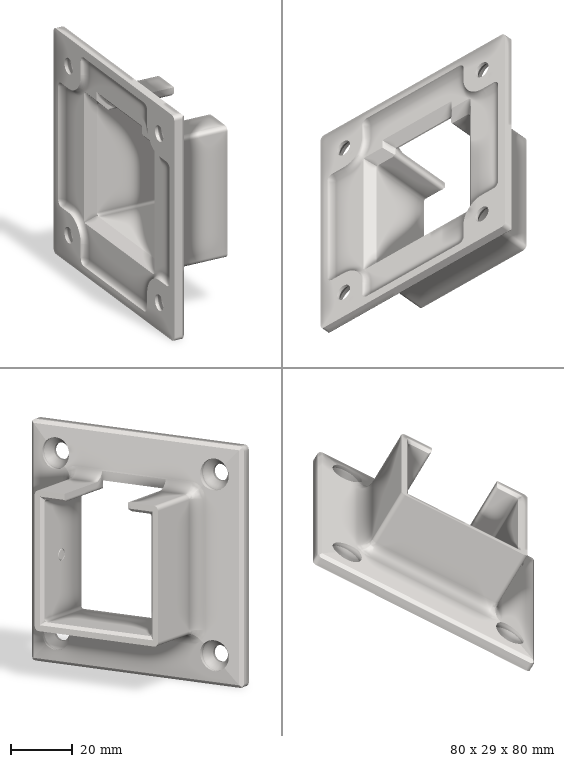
import cadquery as cq
import math

plate_side = 80.0
plate_corner_radius = 1.5
rim_straight = 3.0
rim_chamfer = 1.1
slope_angle = 6.5

total_depth = 29.0
wall = 3.0
opening_side = 40.5
tube_side = opening_side + 2 * wall
tube_corner_radius = 1.5
opening_corner_radius = 1.0
root_fillet = 4.0
back_chamfer = 1.0

slot_width = 24.0
slot_start = 5.6

recess_side = 74.0
recess_depth = 2.0
recess_fillet = 2.0
boss_radius = 8.0

hole_spacing = 60.0
hole_diameter = 5.6
head_diameter = 10.4
hole_straight = 1.1
head_taper_depth = (head_diameter - hole_diameter) / 2

screw_diameter = 4.0
screw_tip_chamfer = 0.3
screw_position = 17.3

tube_half = tube_side / 2
opening_half = opening_side / 2
rim_depth = rim_straight + rim_chamfer


def facing_back(y):
    """Workplane at depth y that extrudes towards +Y, with its vertical axis along Z."""
    return cq.Workplane(cq.Plane(origin=(0, y, 0), xDir=(-1, 0, 0), normal=(0, 1, 0)))


def make_flange():
    """Plate with a chamfered rim and a shallow pyramid on its back."""
    plate = facing_back(0).rect(plate_side, plate_side).extrude(rim_depth)
    plate = plate.faces(">Y").edges().chamfer(rim_chamfer)
    plate = plate.edges("|Y").fillet(plate_corner_radius)
    slope_side = plate_side - 2 * rim_chamfer
    slope_run = (slope_side - opening_side) / 2
    slope_rise = slope_run * math.tan(math.radians(slope_angle))
    pyramid = (
        facing_back(rim_depth)
        .rect(slope_side, slope_side)
        .extrude(slope_rise, taper=90 - slope_angle)
    )
    return plate.union(pyramid)


def make_tube():
    """Square tube, still solid inside, with rounded corners."""
    tube = facing_back(0).rect(tube_side, tube_side).extrude(total_depth)
    return tube.edges("|Y").fillet(tube_corner_radius)


def fillet_root(body):
    """Round the edge where the tube rises from the sloping back."""
    reach = tube_half + wall
    root_zone = cq.selectors.BoxSelector(
        (-reach, rim_depth, -reach), (reach, total_depth / 2, reach)
    )
    return body.edges(root_zone).edges("not |Y").fillet(root_fillet)


def corner_pads():
    """Blocks over the four screw holes, rounded towards the middle of the plate."""
    pad_size = 2 * (plate_side - hole_spacing)
    pad_centre = hole_spacing / 2 - boss_radius + pad_size / 2
    pads = (
        facing_back(-recess_fillet)
        .rect(2 * pad_centre, 2 * pad_centre, forConstruction=True)
        .vertices()
        .rect(pad_size, pad_size)
        .extrude(recess_fillet + recess_depth)
    )
    return pads.edges("|Y").filter(lies_inside_holes).fillet(boss_radius)


def lies_inside_holes(edge):
    """True for an edge nearer the middle, in both X and Z, than the screw holes."""
    centre = edge.Center()
    return max(abs(centre.x), abs(centre.z)) < hole_spacing / 2


def lies_outside_holes(edge):
    """True for an edge further out, in X or in Z, than the screw holes."""
    centre = edge.Center()
    return max(abs(centre.x), abs(centre.z)) > hole_spacing / 2 + recess_fillet


def recess_cutter():
    """Pocket that leaves the corner pads standing, with rounded corners and floor edge."""
    pocket = (
        facing_back(-recess_fillet)
        .rect(recess_side, recess_side)
        .extrude(recess_fillet + recess_depth)
    )
    pocket = pocket.cut(corner_pads())
    pocket = pocket.edges("|Y").filter(lies_outside_holes).fillet(recess_fillet)
    return pocket.faces(">Y").edges().fillet(recess_fillet)


def tapered_block(y, width, bottom, top, depth):
    """Block from Z = bottom to top whose four sides lean inwards at 45 degrees."""
    return (
        facing_back(y)
        .center(0, (bottom + top) / 2)
        .rect(width, top - bottom)
        .extrude(depth, taper=45)
    )


def opening_cutter():
    """Square opening with a slot-wide tab that takes away the tube's top wall."""
    square = facing_back(0).rect(opening_side, opening_side).extrude(total_depth)
    tab = (
        facing_back(0)
        .center(0, tube_half / 2)
        .rect(slot_width, tube_half)
        .extrude(total_depth)
    )
    opening = square.union(tab)
    inner_corners = cq.selectors.BoxSelector(
        (-tube_half, 0, -tube_half), (tube_half, total_depth, opening_half + wall / 2)
    )
    return opening.edges("|Y").edges(inner_corners).fillet(opening_corner_radius)


def mouth_cutter():
    """45 degree bevel from the recess floor into the opening and its tab."""
    square = tapered_block(recess_depth, tube_side, -tube_half, tube_half, wall)
    tab_width = slot_width + 2 * wall
    tab = tapered_block(recess_depth, tab_width, -tube_half, tube_half + wall, wall)
    return square.union(tab)


def back_bevel_cutter():
    """45 degree bevel on the inner edge at the open end of the tube."""
    half = opening_half + back_chamfer
    bevel = tapered_block(-total_depth, 2 * half, -half, half, back_chamfer)
    return bevel.mirror("XZ")


def slot_cutter():
    """Clears the top wall and its root fillet over the width of the slot."""
    return (
        cq.Workplane("XY", origin=(0, slot_start, 0))
        .box(slot_width, total_depth, plate_side, centered=(True, False, False))
    )


def screw_hole_cutter():
    """Straight hole, countersink and clearance for the head."""
    hole = facing_back(0).circle(hole_diameter / 2).extrude(total_depth)
    sink = (
        facing_back(hole_straight)
        .circle(hole_diameter / 2)
        .workplane(offset=head_taper_depth)
        .circle(head_diameter / 2)
        .loft()
    )
    clearance = (
        facing_back(hole_straight + head_taper_depth)
        .circle(head_diameter / 2)
        .extrude(total_depth)
    )
    return hole.union(sink).union(clearance)


def screw_blank():
    """Plain cylinder through the +X wall."""
    return (
        cq.Workplane("YZ", origin=(opening_half, 0, 0))
        .center(screw_position, 0)
        .circle(screw_diameter / 2)
        .extrude(wall)
    )


def make_housing():
    """Flange and tube in one piece, with all its pockets, holes and bevels."""
    body = fillet_root(make_flange().union(make_tube()))
    body = body.cut(slot_cutter())
    for cutter in (
        recess_cutter(),
        opening_cutter(),
        mouth_cutter(),
        back_bevel_cutter(),
        screw_blank(),
    ):
        body = body.cut(cutter)
    for x in (-hole_spacing / 2, hole_spacing / 2):
        for z in (-hole_spacing / 2, hole_spacing / 2):
            body = body.cut(screw_hole_cutter().translate((x, 0, z)))
    return body


def make_set_screw():
    """Screw filling its hole, with a chamfered tip level with the inner wall."""
    return screw_blank().faces("<X").edges().chamfer(screw_tip_chamfer)


housing = make_housing()
set_screw = make_set_screw()
result = cq.Compound.makeCompound([housing.val(), set_screw.val()])